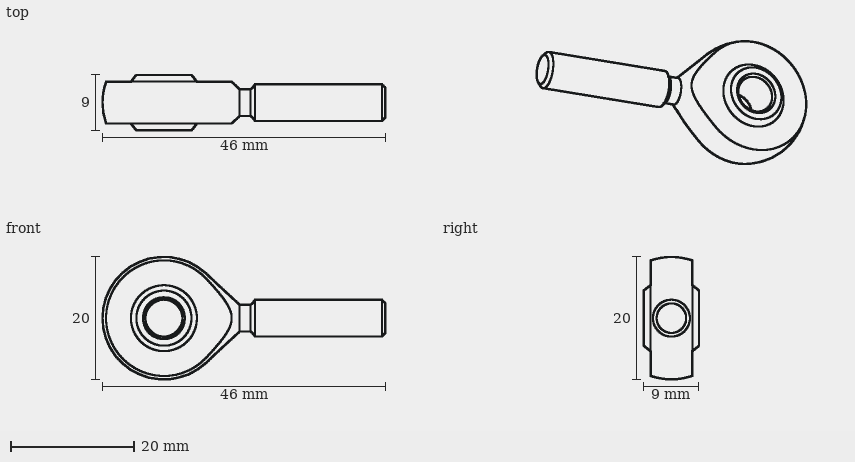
import math

import cadquery as cq


head_radius = 10.0
head_width = 6.8

neck_radius = 2.2
neck_start = 12.3
shank_radius = 3.0
shoulder_start = 14.1
shoulder_arc_radius = 2.5
shank_start = 14.8
shank_end = 36.0
tip_chamfer = 0.6

ball_radius = 6.35
ball_width = 9.0
bore_radius = 3.0
bore_chamfer = 0.4


def make_housing():
    """Sphere, tangent cone, neck and shank turned about X, with flat sides across Y.

    A shallow concave shoulder leads from the neck up to the shank.
    """
    corner_distance = math.hypot(neck_start, neck_radius)
    corner_angle = math.atan2(neck_radius, neck_start)
    tangent_angle = corner_angle + math.acos(head_radius / corner_distance)
    tangent_point = (head_radius * math.cos(tangent_angle), head_radius * math.sin(tangent_angle))

    turned = (
        cq.Workplane("XY")
        .moveTo(-head_radius, 0)
        .threePointArc((0, head_radius), tangent_point)
        .lineTo(neck_start, neck_radius)
        .lineTo(shoulder_start, neck_radius)
        .radiusArc((shank_start, shank_radius), -shoulder_arc_radius)
        .lineTo(shank_end - tip_chamfer, shank_radius)
        .lineTo(shank_end, shank_radius - tip_chamfer)
        .lineTo(shank_end, 0)
        .close()
        .revolve(360, (0, 0, 0), (1, 0, 0))
    )
    slab_length = 2 * (shank_end + head_radius)
    slab = cq.Workplane("XY").box(slab_length, head_width, slab_length)
    return turned.intersect(slab)


def make_ball():
    """Ball cut flat at both ends of the bore axis."""
    slab = cq.Workplane("XY").box(2 * ball_radius, ball_width, 2 * ball_radius)
    return cq.Workplane("XY").sphere(ball_radius).intersect(slab)


def make_bore():
    """Through bore along Y, widened by a chamfer at each mouth."""
    half_width = ball_width / 2
    mouth_radius = bore_radius + bore_chamfer
    straight_end = half_width - bore_chamfer
    return (
        cq.Workplane("XY")
        .moveTo(0, -half_width)
        .lineTo(mouth_radius, -half_width)
        .lineTo(bore_radius, -straight_end)
        .lineTo(bore_radius, straight_end)
        .lineTo(mouth_radius, half_width)
        .lineTo(0, half_width)
        .close()
        .revolve(360, (0, 0, 0), (0, 1, 0))
    )


result = make_housing().union(make_ball()).cut(make_bore())